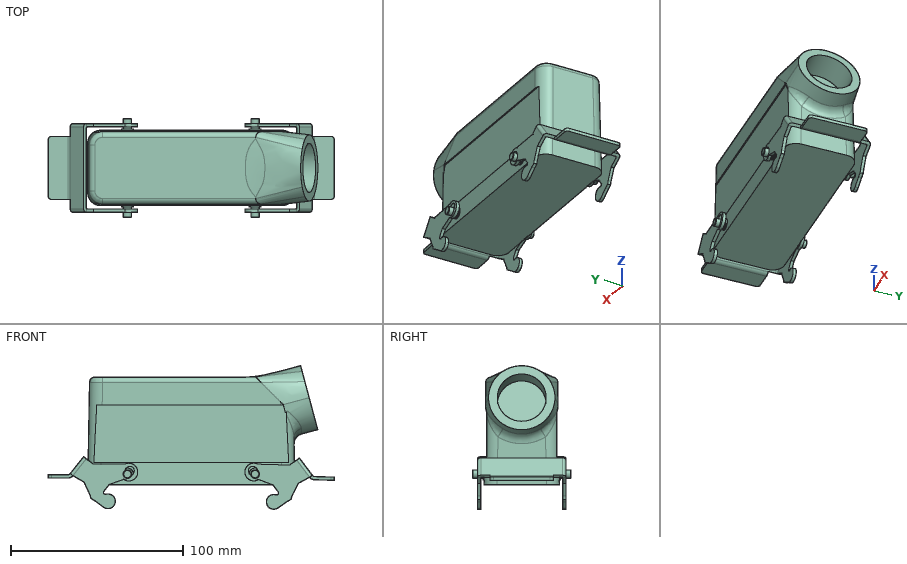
import cadquery as cq
import math

HOOD_LENGTH = 120.1
HOOD_WIDTH = 43.8
HOOD_HEIGHT = 62.5
DRAFT_ANGLE = 1.0
CORNER_RADIUS = 7.6
ROOF_FILLET = 3.2

PANEL_HALF_WIDTH = 20.4
PANEL_BOTTOM = 13.1
PANEL_TOP = 46.5

SPOUT_TILT = 15.0
SPOUT_DIAMETER = 38.5
SPOUT_END_X = 68.4
SPOUT_END_Z = 50.6
SPOUT_LENGTH = 15.6
SPOUT_FLAT_ANGLE = 30.0
SPOUT_ROOF_ANGLE = 55.0
ROOF_BLEND_REACH = 8.3
SPOUT_NECK_FILLET = 5.6
CUT_SLOPE = 45.0
ROOF_BLEND_SINK = 0.03
BLEND_STEPS = 6
BORE_DIAMETER = 28.4

PEG_X = 37.0
PEG_Z = 6.3
PEG_DIAMETER = 5.0
PEG_SPAN = 57.2
PEG_CHAMFER = 0.3
BOSS_DIAMETER = 7.0
BOSS_SPAN = 45.1

SHEET = 2.0
LEVER_WIDTH = 51.5
LEVER_BEND_RADIUS = 2.0
LEVER_INNER_RADIUS = 0.8
HANDLE_WIDTH = 36.7
HANDLE_END_X = -83.0
HANDLE_TOP_Z = 6.0
HANDLE_CORNER_RADIUS = 2.0
HANDLE_BEND_RADIUS = 1.5
BRIDGE_FOOT = (-70.2, 6.6)
BRIDGE_HEAD = (-62.4, 16.5)
ARM_HEEL = [
    (-62.2, 1.7),
    (-58.7, -5.8),
    (-58.2, -7.8),
    (-55.7, -9.3),
]
ARM_TOP_Z = 12.1
ARM_SHOULDER_X = -56.7
EYE_CENTER = (-36.2, 7.5)
EYE_RADIUS = 5.1
EYE_LOWER_ANGLE = 235
SLOT_TRAVEL = (1.5, 2.0)
HOOK_CENTER = (-48.3, -9.5)
HOOK_RADIUS = 4.3
HOOK_HEEL_ANGLE = 235
HOOK_TIP_ANGLE = 340
HOOK_THROAT_ANGLE = 95
THROAT_FLOOR = (-50.0, -5.3)
THROAT_MIDDLE = (-50.8, -4.6)
THROAT_END = (-50.6, -3.7)
THROAT_MOUTH = (-47.5, 0.3)
OPEN_ANGLE = 1.7


def half_width_at(z):
    """Half width of the drafted hood at height z."""
    return HOOD_WIDTH / 2 - z * math.tan(math.radians(DRAFT_ANGLE))


def polar(center, radius, degrees):
    angle = math.radians(degrees)
    return (center[0] + radius * math.cos(angle), center[1] + radius * math.sin(angle))


BRIDGE_LENGTH = math.dist(BRIDGE_FOOT, BRIDGE_HEAD)
BRIDGE_RISE = tuple((head - foot) / BRIDGE_LENGTH for foot, head in zip(BRIDGE_FOOT, BRIDGE_HEAD))
INWARD = (BRIDGE_RISE[1], -BRIDGE_RISE[0])
FOOT_INSIDE = tuple(place + SHEET * step for place, step in zip(BRIDGE_FOOT, INWARD))
HEAD_INSIDE = tuple(place + SHEET * step for place, step in zip(BRIDGE_HEAD, INWARD))

AXIS_DIR = cq.Vector(math.cos(math.radians(SPOUT_TILT)), 0, math.sin(math.radians(SPOUT_TILT)))
SPOUT_END = cq.Vector(SPOUT_END_X, 0, SPOUT_END_Z)
SPOUT_ROOT = SPOUT_END - AXIS_DIR * SPOUT_LENGTH
ROOT_HALF_WIDTH = half_width_at(SPOUT_ROOT.z)
SHOULDER_Z = HOOD_HEIGHT - ROOF_FILLET
ROOF_HALF_WIDTH = half_width_at(SHOULDER_Z) - ROOF_FILLET
ROOF_CUT_X = SPOUT_ROOT.x - (HOOD_HEIGHT - SPOUT_ROOT.z) / math.tan(math.radians(CUT_SLOPE))


def make_block():
    block = (
        cq.Workplane("XY")
        .rect(HOOD_LENGTH, HOOD_WIDTH)
        .extrude(HOOD_HEIGHT, taper=DRAFT_ANGLE)
        .edges("not(#Z)").edges("not(|X or |Y)").fillet(CORNER_RADIUS)
        .faces(">Z").edges().fillet(ROOF_FILLET)
    )
    panel_depth = HOOD_WIDTH
    for side in (1, -1):
        block = block.cut(
            cq.Workplane("XY")
            .box(2 * HOOD_LENGTH, panel_depth, PANEL_TOP - PANEL_BOTTOM, centered=(True, True, False))
            .translate((0, side * (PANEL_HALF_WIDTH + panel_depth / 2), PANEL_BOTTOM))
        )
    far = SPOUT_END + AXIS_DIR * SPOUT_LENGTH
    corner = (
        cq.Workplane("XZ")
        .moveTo(SPOUT_ROOT.x, SPOUT_ROOT.z)
        .lineTo(far.x, far.z)
        .lineTo(far.x, 2 * HOOD_HEIGHT - SPOUT_ROOT.z)
        .lineTo(2 * ROOF_CUT_X - SPOUT_ROOT.x, 2 * HOOD_HEIGHT - SPOUT_ROOT.z)
        .close()
        .extrude(HOOD_WIDTH, both=True)
    )
    return block.cut(corner)


def end_point(degrees):
    """Point on the spout's end circle; 0 is +Y and 90 is the top."""
    y, up = polar((0, 0), SPOUT_DIAMETER / 2, degrees)
    tilt = math.radians(SPOUT_TILT)
    return SPOUT_END + cq.Vector(-up * math.sin(tilt), y, up * math.cos(tilt))


def cut_point(y, z):
    """Point on the sloped cut plane at height z."""
    return cq.Vector(SPOUT_ROOT.x - (z - SPOUT_ROOT.z) / math.tan(math.radians(CUT_SLOPE)), y, z)


def end_arc(start, stop):
    return cq.Edge.makeThreePointArc(end_point(start), end_point((start + stop) / 2), end_point(stop))


def make_spout_top():
    """Upper half: the hood's rounded section blends straight into a half circle."""
    shoulder_y = half_width_at(SHOULDER_Z)
    roof_y = ROOF_HALF_WIDTH
    root_points = [
        cut_point(ROOT_HALF_WIDTH, SPOUT_ROOT.z),
        cut_point(shoulder_y, SHOULDER_Z),
        cut_point(roof_y, HOOD_HEIGHT),
        cut_point(-roof_y, HOOD_HEIGHT),
        cut_point(-shoulder_y, SHOULDER_Z),
        cut_point(-ROOT_HALF_WIDTH, SPOUT_ROOT.z),
    ]
    corner_mid_y, corner_mid_z = polar((roof_y, SHOULDER_Z), ROOF_FILLET, 45)
    root = cq.Wire.assembleEdges([
        cq.Edge.makeLine(root_points[0], root_points[1]),
        cq.Edge.makeThreePointArc(root_points[1], cut_point(corner_mid_y, corner_mid_z), root_points[2]),
        cq.Edge.makeLine(root_points[2], root_points[3]),
        cq.Edge.makeThreePointArc(root_points[3], cut_point(-corner_mid_y, corner_mid_z), root_points[4]),
        cq.Edge.makeLine(root_points[4], root_points[5]),
        cq.Edge.makeLine(root_points[5], root_points[0]),
    ])
    stops = [0, SPOUT_FLAT_ANGLE, SPOUT_ROOF_ANGLE, 180 - SPOUT_ROOF_ANGLE, 180 - SPOUT_FLAT_ANGLE, 180]
    end = cq.Wire.assembleEdges(
        [end_arc(a, b) for a, b in zip(stops, stops[1:])]
        + [cq.Edge.makeLine(end_point(180), end_point(0))]
    )
    return cq.Workplane(cq.Solid.makeLoft([root, end], True))


def make_spout_bottom():
    """Lower half: a half ellipse at the root runs into a half circle at the end."""
    root_plane = cq.Plane(SPOUT_ROOT, xDir=(0, 1, 0), normal=AXIS_DIR)
    return (
        cq.Workplane(root_plane)
        .ellipse(ROOT_HALF_WIDTH, SPOUT_DIAMETER / 2)
        .workplane(offset=SPOUT_LENGTH)
        .circle(SPOUT_DIAMETER / 2)
        .loft(ruled=True)
        .intersect(
            cq.Workplane(root_plane)
            .center(0, -SPOUT_DIAMETER)
            .rect(2 * HOOD_WIDTH, 2 * SPOUT_DIAMETER)
            .extrude(SPOUT_LENGTH)
        )
    )


def spout_roof_point(across, along):
    """Point on the spout's top face; across runs 0 to 1 over its width, along 0 to 1 to the end face."""
    start = cut_point(ROOF_HALF_WIDTH * (1 - 2 * across), HOOD_HEIGHT)
    stop = end_point(SPOUT_ROOF_ANGLE + across * (180 - 2 * SPOUT_ROOF_ANGLE))
    return start + (stop - start) * along


def make_roof_blend():
    """Lens that softens the bend between roof and spout, widest at Y = 0 and nil at both sides."""
    left = spout_roof_point(0, 0)
    right = spout_roof_point(1, 0)
    ridge = (left + right) / 2
    roof_curve = cq.Edge.makeThreePointArc(left, ridge - cq.Vector(ROOF_BLEND_REACH, 0, 0), right)
    middle_along = ROOF_BLEND_REACH / (end_point(90).x - ridge.x)
    steps = [i / BLEND_STEPS for i in range(BLEND_STEPS + 1)]
    spout_curve = cq.Edge.makeSpline([spout_roof_point(t, middle_along * 4 * t * (1 - t)) for t in steps])
    buried_curve = cq.Edge.makeThreePointArc(left, ridge - cq.Vector(0, 0, ROOF_FILLET), right)
    blend_rise = ROOF_BLEND_REACH * math.tan(math.radians(SPOUT_TILT / 2)) / 2
    top = cq.Face.makeNSidedSurface([roof_curve, spout_curve], [ridge + cq.Vector(0, 0, blend_rise)])
    faces = [
        top,
        cq.Face.makeRuledSurface(roof_curve, buried_curve),
        cq.Face.makeRuledSurface(spout_curve, buried_curve),
    ]
    return cq.Workplane(cq.Solid.makeSolid(cq.Shell.makeShell(faces))).translate((0, 0, -ROOF_BLEND_SINK))


def make_pegs():
    pegs = cq.Workplane("XY")
    for x in (-PEG_X, PEG_X):
        middle = cq.Workplane("XZ", origin=(x, 0, PEG_Z))
        pegs = pegs.add(
            middle.circle(PEG_DIAMETER / 2).extrude(PEG_SPAN / 2, both=True)
            .faces("<Y or >Y").chamfer(PEG_CHAMFER)
            .union(middle.circle(BOSS_DIAMETER / 2).extrude(BOSS_SPAN / 2, both=True))
        )
    return pegs.combine()


def make_hood():
    hood = make_block().union(make_spout_bottom()).union(make_spout_top())
    hood = hood.edges(
        cq.selectors.BoxSelector((HOOD_LENGTH / 2 - 1.7, -1.7, 0), (HOOD_LENGTH / 2, 1.7, SPOUT_ROOT.z))
    ).edges(">Z").fillet(SPOUT_NECK_FILLET)
    hood = hood.union(make_roof_blend())
    bore = (
        cq.Workplane(cq.Plane(SPOUT_ROOT, xDir=(0, 1, 0), normal=AXIS_DIR))
        .circle(BORE_DIAMETER / 2)
        .extrude(SPOUT_LENGTH)
    )
    return hood.cut(bore).union(make_pegs())


def make_arm():
    """Flat hooked side arm on the -Y side, joined to the inner face of the bridge."""
    eye_top_x = EYE_CENTER[0] - math.sqrt(EYE_RADIUS**2 - (ARM_TOP_Z - EYE_CENTER[1])**2)
    return (
        cq.Workplane("XZ", origin=(0, SHEET - LEVER_WIDTH / 2, 0))
        .polyline([FOOT_INSIDE, *ARM_HEEL, polar(HOOK_CENTER, HOOK_RADIUS, HOOK_HEEL_ANGLE)])
        .threePointArc(
            polar(HOOK_CENTER, HOOK_RADIUS, HOOK_TIP_ANGLE),
            polar(HOOK_CENTER, HOOK_RADIUS, HOOK_THROAT_ANGLE),
        )
        .lineTo(*THROAT_FLOOR)
        .threePointArc(THROAT_MIDDLE, THROAT_END)
        .lineTo(*THROAT_MOUTH)
        .lineTo(*polar(EYE_CENTER, EYE_RADIUS, EYE_LOWER_ANGLE))
        .threePointArc(polar(EYE_CENTER, EYE_RADIUS, 0), (eye_top_x, ARM_TOP_Z))
        .lineTo(ARM_SHOULDER_X, ARM_TOP_Z)
        .lineTo(*HEAD_INSIDE)
        .close()
        .extrude(SHEET)
    )


def make_bridge():
    """Sloped plate across the end of the hood."""
    return (
        cq.Workplane("XZ")
        .polyline([BRIDGE_FOOT, BRIDGE_HEAD, HEAD_INSIDE, FOOT_INSIDE])
        .close()
        .extrude(LEVER_WIDTH / 2, both=True)
    )


def make_bend_envelope():
    """Space inside the rounded bends between the bridge and the two arms."""
    reach = HOOD_LENGTH
    across = cq.Plane(
        origin=(BRIDGE_FOOT[0], 0, BRIDGE_FOOT[1]),
        xDir=(INWARD[0], 0, INWARD[1]),
        normal=(BRIDGE_RISE[0], 0, BRIDGE_RISE[1]),
    )
    return (
        cq.Workplane(across)
        .center(reach / 2, 0)
        .rect(reach, LEVER_WIDTH)
        .extrude(reach, both=True)
        .edges(cq.selectors.ParallelDirSelector(across.zDir))
        .fillet(LEVER_BEND_RADIUS)
    )


def make_handle():
    """Flat grip plate bent out from the foot of the bridge."""
    handle_bottom = HANDLE_TOP_Z - SHEET

    def along_bridge(point, z):
        return (point[0] + (z - point[1]) * BRIDGE_RISE[0] / BRIDGE_RISE[1], z)

    bend_top = along_bridge(BRIDGE_FOOT, HANDLE_TOP_Z)
    bend_bottom = along_bridge(FOOT_INSIDE, handle_bottom)
    return (
        cq.Workplane("XZ")
        .polyline([
            (HANDLE_END_X, HANDLE_TOP_Z),
            bend_top,
            BRIDGE_FOOT,
            FOOT_INSIDE,
            bend_bottom,
            (HANDLE_END_X, handle_bottom),
        ])
        .close()
        .extrude(HANDLE_WIDTH / 2, both=True)
        .edges("|Z and <X").fillet(HANDLE_CORNER_RADIUS)
        .edges("|Y").edges(cq.selectors.NearestToPointSelector((bend_top[0], 0, bend_top[1])))
        .fillet(HANDLE_BEND_RADIUS)
        .edges("|Y").edges(cq.selectors.NearestToPointSelector((bend_bottom[0], 0, bend_bottom[1])))
        .fillet(HANDLE_BEND_RADIUS + SHEET)
    )


def make_peg_slot():
    """Slots in both arms, with the peg at their lower -X end."""
    travel_x, travel_z = SLOT_TRAVEL
    return (
        cq.Workplane("XZ", origin=(travel_x / 2 - PEG_X, 0, travel_z / 2 + PEG_Z))
        .slot2D(
            math.hypot(travel_x, travel_z) + PEG_DIAMETER,
            PEG_DIAMETER,
            math.degrees(math.atan2(travel_z, travel_x)),
        )
        .extrude(LEVER_WIDTH, both=True)
    )


def make_lever():
    """Lever for the -X end of the hood."""
    arm = make_arm()
    sheet = make_bridge().union(arm).union(arm.mirror("XZ"))
    inner_y = LEVER_WIDTH / 2 - SHEET
    for y in (-inner_y, inner_y):
        inner_bend = cq.selectors.NearestToPointSelector(
            ((FOOT_INSIDE[0] + HEAD_INSIDE[0]) / 2, y, (FOOT_INSIDE[1] + HEAD_INSIDE[1]) / 2)
        )
        sheet = sheet.edges(inner_bend).fillet(LEVER_INNER_RADIUS)
    return sheet.intersect(make_bend_envelope()).union(make_handle()).cut(make_peg_slot())


hood = make_hood()
left_lever = make_lever()
right_lever = make_lever().mirror("YZ").rotate((PEG_X, 0, PEG_Z), (PEG_X, 1, PEG_Z), OPEN_ANGLE)
result = cq.Compound.makeCompound([hood.val(), left_lever.val(), right_lever.val()])